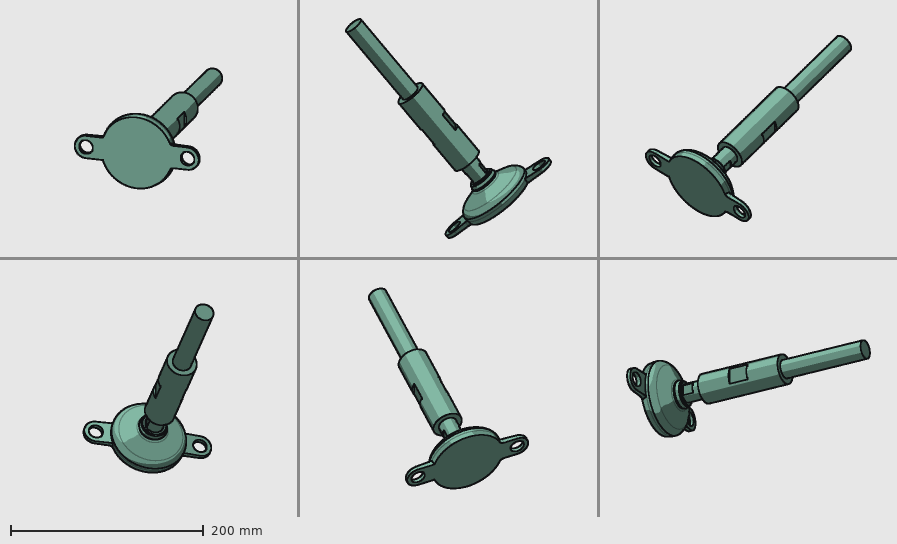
import cadquery as cq


total_length = 246.5
lug_span = 136.0

pad_diameter = 80.0
pad_radius = pad_diameter / 2
underside_radius = 39.2
skirt_top = 6.0
rim_top = 9.0
shoulder_mid_radius = 38.0
shoulder_mid_y = 13.0
cone_base_radius = 34.3
cone_base_y = 15.8
cone_top_radius = 16.8
cone_top_y = 23.5

groove_radius = 14.5
groove_bottom = 25.0
groove_top = 25.6
collar_radius = 15.3
collar_mid_y = 26.9
collar_top_radius = 13.8
collar_shoulder_y = 30.8
neck_top = 32.0
neck_top_radius = 12.5

lug_radius = 12.3
lug_center = lug_span / 2 - lug_radius
lug_hole_diameter = 15.0
lug_root_x = 34.5
lug_root_height = 6.0
lug_tip_height = 4.0
lug_fillet = 5.0

rod_diameter = 20.0
rod_flat_width = 16.5
rod_flat_bottom = 33.3
rod_flat_top = 44.9
sleeve_diameter = 32.0
sleeve_bottom = 55.0
sleeve_top = 150.4
sleeve_flat_width = 27.0
sleeve_flat_bottom = 91.7
sleeve_flat_top = 113.1


def cylinder(diameter, bottom, top):
    """Round bar on the Y axis."""
    bar = cq.Workplane("XZ", origin=(0, bottom, 0)).circle(diameter / 2)
    return bar.extrude(-(top - bottom))


def cut_flats(bar, diameter, width, bottom, top):
    """Cut a pair of wrench flats facing -X and +X."""
    depth = (diameter - width) / 2
    for side in (-1, 1):
        cutter = cq.Workplane("XY").box(2 * depth, top - bottom, diameter)
        bar = bar.cut(cutter.translate((side * (width / 2 + depth), (bottom + top) / 2, 0)))
    return bar


def make_lug_wedge(side):
    """Space below the sloping upper face of a lug, wide enough for its corner fills."""
    half_width = lug_radius + lug_fillet
    tip_x = lug_span / 2
    return (
        cq.Workplane("XY", origin=(0, 0, -half_width))
        .moveTo(side * lug_root_x, 0)
        .lineTo(side * tip_x, 0)
        .lineTo(side * tip_x, lug_tip_height)
        .lineTo(side * lug_root_x, lug_root_height)
        .close()
        .extrude(2 * half_width)
    )


def make_lug(side):
    """Round-ended lug whose upper face slopes down to its tip; side is -1 or 1."""
    tip_x = lug_span / 2
    outline = (
        cq.Workplane("XZ")
        .moveTo(side * lug_root_x, -lug_radius)
        .lineTo(side * lug_center, -lug_radius)
        .threePointArc((side * tip_x, 0), (side * lug_center, lug_radius))
        .lineTo(side * lug_root_x, lug_radius)
        .close()
        .extrude(-lug_root_height)
    )
    return outline.intersect(make_lug_wedge(side))


def make_lug_fillets():
    """Concave corner fills between the +X lug and the pad skirt."""
    reach = underside_radius + lug_fillet
    center_z = lug_radius + lug_fillet
    center_x = (reach**2 - center_z**2) ** 0.5
    touch_x = center_x * underside_radius / reach
    touch_z = center_z * underside_radius / reach
    fill = (
        cq.Workplane("XZ")
        .moveTo(lug_root_x, 0)
        .lineTo(center_x, 0)
        .lineTo(center_x, center_z)
        .lineTo(touch_x, touch_z)
        .lineTo(lug_root_x, lug_radius)
        .close()
        .extrude(-skirt_top)
    )
    fill = fill.cut(
        cq.Workplane("XZ").center(center_x, center_z).circle(lug_fillet).extrude(-skirt_top)
    )
    fill = fill.intersect(make_lug_wedge(1))
    return fill.union(fill.mirror("XY"))


def make_pad():
    """Turned pad with its neck, plus the two drilled lugs."""
    pad = (
        cq.Workplane("XY")
        .lineTo(underside_radius, 0)
        .lineTo(pad_radius, skirt_top)
        .lineTo(pad_radius, rim_top)
        .threePointArc((shoulder_mid_radius, shoulder_mid_y), (cone_base_radius, cone_base_y))
        .lineTo(cone_top_radius, cone_top_y)
        .lineTo(groove_radius, groove_bottom)
        .lineTo(groove_radius, groove_top)
        .lineTo(collar_radius, collar_mid_y)
        .lineTo(collar_top_radius, collar_shoulder_y)
        .lineTo(neck_top_radius, neck_top)
        .lineTo(0, neck_top)
        .close()
        .revolve(360, (0, 0, 0), (0, 1, 0))
    )
    for side in (-1, 1):
        pad = pad.union(make_lug(side))
    pad = pad.union(make_lug_fillets())
    holes = (
        cq.Workplane("XZ")
        .pushPoints([(-lug_center, 0), (lug_center, 0)])
        .circle(lug_hole_diameter / 2)
        .extrude(-lug_root_height)
    )
    return pad.cut(holes)


def make_spindle():
    """Rod standing on the pad neck, with a thicker sleeve section and two pairs of flats."""
    rod = cylinder(rod_diameter, neck_top, total_length)
    rod = cut_flats(rod, rod_diameter, rod_flat_width, rod_flat_bottom, rod_flat_top)
    sleeve = cylinder(sleeve_diameter, sleeve_bottom, sleeve_top)
    sleeve = cut_flats(
        sleeve, sleeve_diameter, sleeve_flat_width, sleeve_flat_bottom, sleeve_flat_top
    )
    return rod.union(sleeve)


pad = make_pad()
spindle = make_spindle()
result = cq.Compound.makeCompound([pad.val(), spindle.val()])